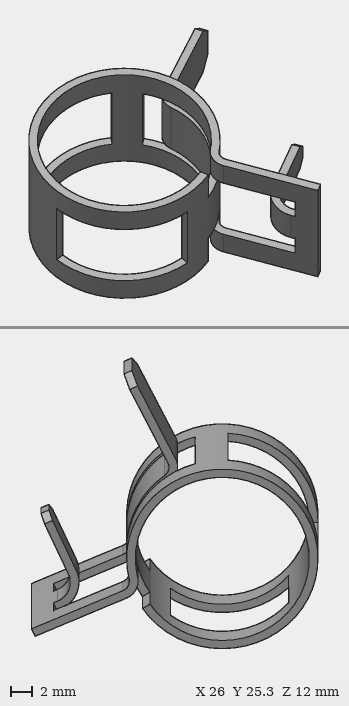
import cadquery as cq
import math

sheet = 0.8
ring_outer = 8.8
ring_inner = ring_outer - sheet

band_width = 12.0
slot_width = 7.1
tongue_width = 5.75
hook_width = 3.1

band_end = 36.5
slot_start = 180 - band_end
ear_bend_angle = 57
window_top = 16.5
pad_half_angle = 20.3

ear_angle = 46
ear_tip_x = 13
ear_bend_radius = 1.0
tongue_nose = 1.2

slot_to_tip = 2.2
hook_lead = 0.4
hook_bend_radius = 2.0
hook_top_y = 16.5
hook_nose = 0.8

side_angle = ear_angle - 90
hook_angle = ear_angle + 90

cutter_overlap = 0.25
cutter_thickness = sheet + 2 * cutter_overlap


def move(point, angle, distance):
    """Point reached by going a distance from a point in the XY plane."""
    turn = math.radians(angle)
    return (point[0] + distance * math.cos(turn), point[1] + distance * math.sin(turn))


def curved_strip(centre, inner, start, end, width, thickness=sheet):
    """Strip curved about a centre, between two angles in degrees."""
    outer = inner + thickness
    middle = (start + end) / 2
    return (
        cq.Workplane("XY")
        .moveTo(*move(centre, start, inner))
        .threePointArc(move(centre, middle, inner), move(centre, end, inner))
        .lineTo(*move(centre, end, outer))
        .threePointArc(move(centre, middle, outer), move(centre, start, outer))
        .close()
        .extrude(width / 2, both=True)
    )


def flat_strip(start, angle, length, width, nose=0, thickness=sheet):
    """Flat strip running from the middle of its end face, with an optional chamfered tip."""
    strip = cq.Workplane("XY").box(length, thickness, width, centered=(False, True, True))
    if nose:
        strip = strip.faces(">X").edges("|Y").chamfer(nose)
    return strip.rotate((0, 0, 0), (0, 0, 1), angle).translate((start[0], start[1], 0))


ring_centre = (0, 0)
ear_bend_centre = move(ring_centre, ear_bend_angle, ring_outer + ear_bend_radius)
ear_start = move(ear_bend_centre, side_angle, ear_bend_radius + sheet / 2)
ear_outer_start = move(ear_start, side_angle, sheet / 2)
ear_length = (ear_tip_x - ear_outer_start[0]) / math.cos(math.radians(ear_angle))


def ear(width, nose=0):
    """Flared ear on the +X side, with the bend that joins it to the ring."""
    bend = curved_strip(ear_bend_centre, ear_bend_radius, ear_bend_angle + 180, side_angle + 360, width)
    return bend.union(flat_strip(ear_start, ear_angle, ear_length, width, nose))


def curved_cutter(centre, inner, start, end):
    """Cutter for an opening through a curved stretch of strip, between two angles."""
    return curved_strip(centre, inner - cutter_overlap, start, end, slot_width, cutter_thickness)


band = curved_strip(ring_centre, ring_inner, ear_bend_angle, 360 + band_end, band_width)
band = band.union(ear(band_width))

right_window = curved_cutter(ring_centre, ring_inner, pad_half_angle - 90, window_top)
band = band.cut(right_window).cut(right_window.mirror("YZ"))

slot_length = ear_length - slot_to_tip
slot = (
    curved_cutter(ring_centre, ring_inner, ear_bend_angle, slot_start)
    .union(curved_cutter(ear_bend_centre, ear_bend_radius, ear_bend_angle + 180, side_angle + 360))
    .union(flat_strip(ear_start, ear_angle, slot_length, slot_width, thickness=cutter_thickness))
)
band = band.cut(slot)

tongue = curved_strip(ring_centre, ring_inner, band_end, 180 - ear_bend_angle, tongue_width)
tongue = tongue.union(ear(tongue_width, tongue_nose).mirror("YZ"))

slot_end = move(ear_start, ear_angle, slot_length)
hook_bend_start = move(slot_end, ear_angle, -hook_lead)
hook_bend_centre = move(hook_bend_start, hook_angle, hook_bend_radius + sheet / 2)
hook_start = move(hook_bend_centre, ear_angle + 180, hook_bend_radius + sheet / 2)
hook_inner_start = move(hook_start, ear_angle, sheet / 2)
hook_length = (hook_top_y - hook_inner_start[1]) / math.sin(math.radians(hook_angle))
hook = (
    flat_strip(hook_bend_start, ear_angle, hook_lead, hook_width)
    .union(curved_strip(hook_bend_centre, hook_bend_radius, ear_angle + 180, side_angle + 360, hook_width))
    .union(flat_strip(hook_start, hook_angle, hook_length, hook_width, hook_nose))
)

result = band.union(tongue).union(hook)